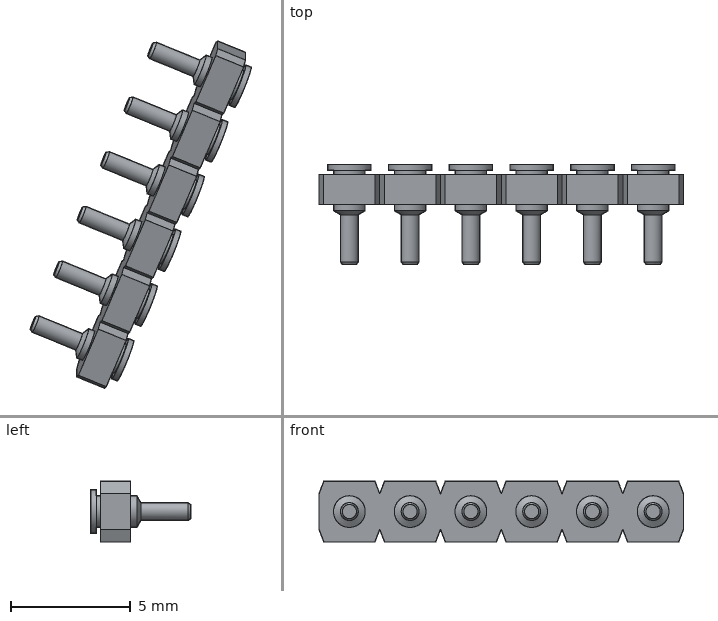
import cadquery as cq

PIN_COUNT = 6
LENGTH = 15.24
HEIGHT = 2.55
PITCH = LENGTH / PIN_COUNT
NOTCH_DEPTH = 0.52
NOTCH_HALF_WIDTH = 0.2

FLANGE_THICKNESS = 0.25
NECK_LENGTH = 0.17
HOUSING_DEPTH = 1.26
COLLAR_LENGTH = 0.26
COLLAR_TAPER_LENGTH = 0.17
PIN_OVERALL_LENGTH = 4.19
TIP_CHAMFER_LENGTH = 0.12

FLANGE_DIAMETER = 1.83
BARREL_DIAMETER = 1.33
TAIL_DIAMETER = 0.75
TIP_DIAMETER = 0.6

HOUSING_BACK_Y = HOUSING_DEPTH
FLANGE_FRONT_Y = HOUSING_BACK_Y + NECK_LENGTH
PIN_BACK_Y = FLANGE_FRONT_Y + FLANGE_THICKNESS
PIN_TIP_Y = PIN_BACK_Y - PIN_OVERALL_LENGTH
COLLAR_END_Y = -COLLAR_LENGTH
TAPER_END_Y = COLLAR_END_Y - COLLAR_TAPER_LENGTH

pin_centers = [(i + 0.5) * PITCH - LENGTH / 2 for i in range(PIN_COUNT)]


def make_housing():
    """Strip of chamfered cells, with V notches between them and a bore for each pin."""
    edge_half = PITCH / 2 - NOTCH_HALF_WIDTH
    top = HEIGHT / 2
    shoulder = top - NOTCH_DEPTH

    upper = [(-LENGTH / 2, shoulder)]
    for x in pin_centers:
        upper += [(x - edge_half, top), (x + edge_half, top), (x + PITCH / 2, shoulder)]
    lower = [(x, -z) for x, z in reversed(upper)]

    strip = cq.Workplane("XZ").polyline(upper + lower).close().extrude(-HOUSING_DEPTH)
    bores = (
        cq.Workplane("XZ")
        .pushPoints([(x, 0) for x in pin_centers])
        .circle(BARREL_DIAMETER / 2)
        .extrude(-HOUSING_DEPTH)
    )
    return strip.cut(bores)


def make_pin(x):
    """Turned pin along Y: flange, barrel, conical taper and a tail with a chamfered tip."""
    profile = [
        (0, PIN_BACK_Y),
        (FLANGE_DIAMETER / 2, PIN_BACK_Y),
        (FLANGE_DIAMETER / 2, FLANGE_FRONT_Y),
        (BARREL_DIAMETER / 2, FLANGE_FRONT_Y),
        (BARREL_DIAMETER / 2, COLLAR_END_Y),
        (TAIL_DIAMETER / 2, TAPER_END_Y),
        (TAIL_DIAMETER / 2, PIN_TIP_Y + TIP_CHAMFER_LENGTH),
        (TIP_DIAMETER / 2, PIN_TIP_Y),
        (0, PIN_TIP_Y),
    ]
    pin = cq.Workplane("XY").polyline(profile).close().revolve(360, (0, 0), (0, 1))
    return pin.translate((x, 0, 0))


housing = make_housing()
pins = [make_pin(x) for x in pin_centers]

result = cq.Compound.makeCompound([housing.val(), *[pin.val() for pin in pins]])